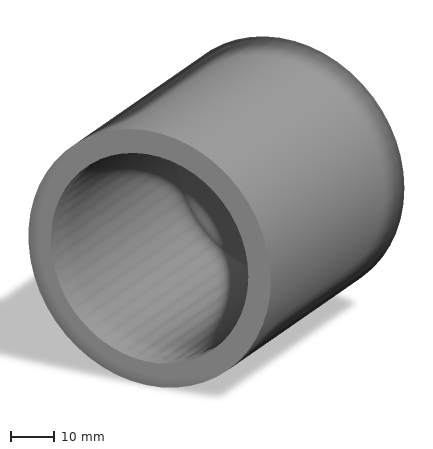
import cadquery as cq
import math

length = 72.95
outer_diameter = 63.0
wall = 5.8
dome_height = 5.8

outer_radius = outer_diameter / 2
bore_radius = outer_radius - wall
open_end = -length / 2
outer_apex = length / 2
outer_rim = outer_apex - dome_height

outer_dome_radius = (outer_radius**2 + dome_height**2) / (2 * dome_height)
inner_dome_radius = outer_dome_radius - wall
dome_center = outer_apex - outer_dome_radius


def domed_cylinder(radius, rim, dome_radius):
    """Solid of revolution about Y, from the open end to a spherical cap."""
    apex = dome_center + dome_radius
    arc_middle_x = radius / 2
    arc_middle_y = dome_center + math.sqrt(dome_radius**2 - arc_middle_x**2)
    return (
        cq.Workplane("XY")
        .moveTo(0, open_end)
        .lineTo(radius, open_end)
        .lineTo(radius, rim)
        .threePointArc((arc_middle_x, arc_middle_y), (0, apex))
        .close()
        .revolve(360, (0, 0, 0), (0, 1, 0))
    )


inner_rim = dome_center + math.sqrt(inner_dome_radius**2 - bore_radius**2)

body = domed_cylinder(outer_radius, outer_rim, outer_dome_radius)
cavity = domed_cylinder(bore_radius, inner_rim, inner_dome_radius)
result = body.cut(cavity)